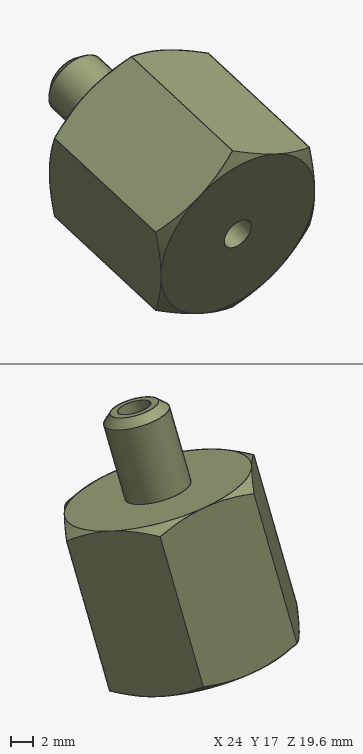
import cadquery as cq
import math

total_length = 24.0
hex_length = 16.0
across_flats = 17.0
hex_chamfer_angle = 30.0
stud_diameter = 6.0
stud_chamfer = 0.8
bore_diameter = 3.0

stud_length = total_length - hex_length
flat_radius = across_flats / 2
corner_radius = flat_radius / math.cos(math.radians(30))
hex_chamfer_length = (corner_radius - flat_radius) * math.tan(math.radians(hex_chamfer_angle))


def chamfered_hex():
    """Hexagon with corners up and down, its ends trimmed by cones touching the flats."""
    hexagon = (
        cq.Workplane("YZ", origin=(stud_length, 0, 0))
        .polygon(6, 2 * corner_radius)
        .extrude(hex_length)
        .rotate((0, 0, 0), (1, 0, 0), 90)
    )
    envelope = (
        cq.Workplane("XY")
        .moveTo(stud_length, 0)
        .lineTo(stud_length, flat_radius)
        .lineTo(stud_length + hex_chamfer_length, corner_radius)
        .lineTo(total_length - hex_chamfer_length, corner_radius)
        .lineTo(total_length, flat_radius)
        .lineTo(total_length, 0)
        .close()
        .revolve(360, (0, 0, 0), (1, 0, 0))
    )
    return hexagon.intersect(envelope)


def stud():
    """Round stud with a chamfered free end at X = 0."""
    return (
        cq.Workplane("YZ")
        .circle(stud_diameter / 2)
        .extrude(stud_length)
        .faces("<X")
        .chamfer(stud_chamfer)
    )


def bore():
    """Plain hole through the whole length."""
    return cq.Workplane("YZ").circle(bore_diameter / 2).extrude(total_length)


result = chamfered_hex().union(stud()).cut(bore())